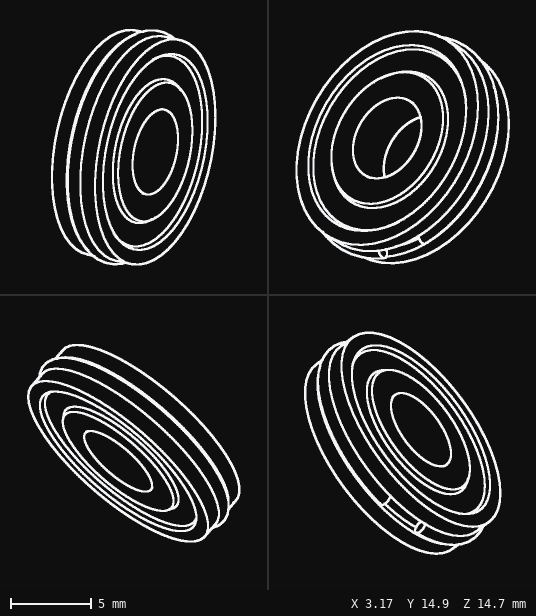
import cadquery as cq

width = 3.17
bearing_radius = 7.17
bore_radius = 2.7

recess_outer_radius = 6.23
recess_inner_radius = 4.42
recess_depth = 0.3
wall_run = 0.16

ring_outer_radius = 7.44
wire_radius = 0.45
groove_width = 1.0
ring_gap = 3.15
wire_centre_radius = ring_outer_radius - wire_radius
groove_floor_radius = ring_outer_radius - 2 * wire_radius


def revolve_about_x(profile):
    """Turn a profile in the XY plane, where Y is the radius, about X."""
    return profile.revolve(360, (0, 0, 0), (1, 0, 0))


def make_face_recess():
    """Tapered annular cutter for the -X face."""
    face = -width / 2
    floor = face + recess_depth
    profile = cq.Workplane("XY").polyline([
        (face, recess_inner_radius),
        (floor, recess_inner_radius + wall_run),
        (floor, recess_outer_radius - wall_run),
        (face, recess_outer_radius),
    ]).close()
    return revolve_about_x(profile)


def make_groove():
    """Square-sided groove around the middle of the rim."""
    side = groove_width / 2
    profile = cq.Workplane("XY").polyline([
        (-side, groove_floor_radius),
        (side, groove_floor_radius),
        (side, bearing_radius),
        (-side, bearing_radius),
    ]).close()
    return revolve_about_x(profile)


def make_bearing():
    blank = (
        cq.Workplane("YZ", origin=(-width / 2, 0, 0))
        .circle(bearing_radius)
        .circle(bore_radius)
        .extrude(width)
    )
    recess = make_face_recess()
    return blank.cut(make_groove()).cut(recess).cut(recess.mirror("YZ"))


def make_snap_ring():
    """Round-wire ring with a parallel-sided gap at the bottom."""
    hoop = cq.Workplane("XY").add(
        cq.Solid.makeTorus(wire_centre_radius, wire_radius, cq.Vector(0, 0, 0), cq.Vector(1, 0, 0))
    )
    gap = cq.Workplane("XY").box(
        2 * wire_radius, ring_gap, ring_outer_radius, centered=(True, True, False)
    ).translate((0, 0, -ring_outer_radius))
    return hoop.cut(gap)


bearing = make_bearing()
snap_ring = make_snap_ring()

result = cq.Compound.makeCompound([bearing.val(), snap_ring.val()])